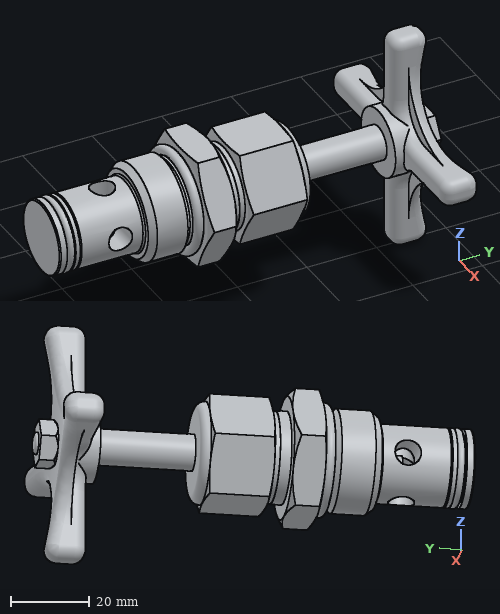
import cadquery as cq
import math


ARM_REACH = 31.73
ARM_WIDTH = 8.0
ARM_ROUND = 3.2
ARM_BOTTOM = 99.4
CROWN_LOW = 106.8
CROWN_RADIUS = 133.0
WEB_BOTTOM = 103.6
WEB_CORNER_RADIUS = 18.8
ARM_CORNER_RADIUS = 9.4
HUB_DIAMETER = 19.0
HUB_BOTTOM = 96.9

STUD_DIAMETER = 5.7
STUD_TOP = 112.7
STEM_DIAMETER = 9.5
NUT_FLATS = 11.0
NUT_BOTTOM = 107.2
NUT_TOP = 111.8
NUT_CHAMFER_ANGLE = 45.0

COLLAR_DIAMETER = 26.6
COLLAR_TOP = 71.5
UPPER_HEX_FLATS = 26.9
UPPER_HEX_TOP = 69.0
UPPER_HEX_BOTTOM = 52.4
SHALLOW_CHAMFER_ANGLE = 16.0

UPPER_NECK_DIAMETER = 23.8
LOWER_NECK_DIAMETER = 24.0
NECK_STEP = 50.8

LOWER_HEX_FLATS = 31.7
LOWER_HEX_TOP = 47.9
LOWER_HEX_BOTTOM = 39.6
STEEP_CHAMFER_ANGLE = 30.0

BARREL_DIAMETER = 26.9
BARREL_TOP = 36.5
BARREL_BOTTOM = 24.5
BARREL_END_DIAMETER = 24.0
BARREL_TOP_CHAMFER = 1.4
BARREL_BOTTOM_CHAMFER = 1.9
BARREL_SEAL_DIAMETER = 29.5
BARREL_SEAL_SECTION = 2.8
BARREL_SEAL_HEIGHT = 38.2

NOSE_DIAMETER = 20.5
NOSE_CHAMFER = 0.3
FLARE_DIAMETER = 21.2
FLARE_BOTTOM = 23.9
GROOVE_DIAMETER = 17.8
GROOVE_TOP = 6.3
GROOVE_BOTTOM = 2.1
BACKUP_RING_DIAMETER = 20.5
BACKUP_RING_TOP = 5.9
BACKUP_RING_BOTTOM = 4.6
NOSE_SEAL_DIAMETER = 20.8
NOSE_SEAL_SECTION = 2.0
NOSE_SEAL_HEIGHT = 3.6

PORT_DIAMETER = 6.8
PORT_HEIGHT = 17.5
NEEDLE_DIAMETER = 4.7


def plane_at(height):
    """Workplane square to the axis; a negative extrusion goes towards +Y."""
    return cq.Workplane("XZ", origin=(0, height, 0))


def cylinder(diameter, bottom, top):
    return plane_at(bottom).circle(diameter / 2).extrude(bottom - top)


def turned(points):
    """Solid of revolution about Y from (radius, height) points."""
    return cq.Workplane("XY").polyline(points).close().revolve(360, (0, 0, 0), (0, 1, 0))


def seal_ring(outer_diameter, section, height):
    centre_radius = (outer_diameter - section) / 2
    circle = cq.Workplane("XY").center(-centre_radius, height).circle(section / 2)
    return circle.revolve(360, (centre_radius, 0, 0), (centre_radius, 1, 0))


def chamfered_hex(flats, bottom, top, bottom_angle, top_angle):
    """Hexagon with corners on X, its ends coned outside the inscribed circle; angle 0 leaves an end flat."""
    seat_radius = flats / 2
    corner_radius = flats / math.sqrt(3)
    bottom_drop = (corner_radius - seat_radius) * math.tan(math.radians(bottom_angle))
    top_drop = (corner_radius - seat_radius) * math.tan(math.radians(top_angle))
    profile = [(0, bottom), (seat_radius, bottom), (corner_radius, bottom + bottom_drop)]
    profile.append((corner_radius, top - top_drop))
    if top_drop > 0:
        profile.append((seat_radius, top))
    profile.append((0, top))
    hexagon = plane_at(bottom).polygon(6, 2 * corner_radius).extrude(bottom - top)
    return hexagon.intersect(turned(profile))


def cross_plate(bottom, top, corner_radius):
    """Plate with four arms and rounded inner corners between them."""
    plate = plane_at(bottom).rect(2 * ARM_REACH, ARM_WIDTH).extrude(bottom - top)
    other_arms = plane_at(bottom).rect(ARM_WIDTH, 2 * ARM_REACH).extrude(bottom - top)
    inner_corners = cq.selectors.BoxSelector(
        (-ARM_WIDTH, bottom, -ARM_WIDTH), (ARM_WIDTH, top, ARM_WIDTH)
    )
    return plate.union(other_arms).edges("|Y").edges(inner_corners).fillet(corner_radius)


def round_arms(plate, rim_face):
    """Round the rim of one face of a cross plate together with the upright edges of the arm ends."""
    upright = cq.selectors.ParallelDirSelector(cq.Vector(0, 1, 0))
    inner_reach = ARM_REACH - ARM_WIDTH
    inner = cq.selectors.BoxSelector(
        (-inner_reach, 0, -inner_reach), (inner_reach, STUD_TOP, inner_reach)
    )
    end_edges = plate.edges(upright - inner)
    rim_edges = plate.faces(rim_face).edges()
    return end_edges.add(rim_edges).fillet(ARM_ROUND)


def make_handle():
    crown = cq.Workplane("XY").sphere(CROWN_RADIUS).translate((0, CROWN_LOW + CROWN_RADIUS, 0))
    webbed = cross_plate(WEB_BOTTOM, STUD_TOP, WEB_CORNER_RADIUS).cut(crown)
    arms = cross_plate(ARM_BOTTOM, WEB_BOTTOM, ARM_CORNER_RADIUS)
    hub = cylinder(HUB_DIAMETER, HUB_BOTTOM, WEB_BOTTOM)
    handle = round_arms(webbed, "%SPHERE").union(round_arms(arms, "<Y")).union(hub)
    return handle.cut(cylinder(STUD_DIAMETER, HUB_BOTTOM, STUD_TOP))


def make_stem():
    stem = cylinder(STEM_DIAMETER, UPPER_HEX_TOP, HUB_BOTTOM)
    stud = cylinder(STUD_DIAMETER, HUB_BOTTOM, STUD_TOP)
    stud = stud.faces(">Y").edges().fillet(STUD_TOP - NUT_TOP)
    nut = chamfered_hex(NUT_FLATS, NUT_BOTTOM, NUT_TOP, NUT_CHAMFER_ANGLE, 0)
    return stem.union(stud).union(nut)


def make_bonnet():
    collar = cylinder(COLLAR_DIAMETER, UPPER_HEX_BOTTOM, COLLAR_TOP)
    collar = collar.faces(">Y").edges().fillet(COLLAR_TOP - UPPER_HEX_TOP)
    upper_hex = chamfered_hex(
        UPPER_HEX_FLATS, UPPER_HEX_BOTTOM, UPPER_HEX_TOP,
        SHALLOW_CHAMFER_ANGLE, SHALLOW_CHAMFER_ANGLE,
    )
    upper_neck = cylinder(UPPER_NECK_DIAMETER, NECK_STEP, UPPER_HEX_BOTTOM)
    return collar.union(upper_hex).union(upper_neck)


def make_barrel():
    lower_hex = chamfered_hex(
        LOWER_HEX_FLATS, LOWER_HEX_BOTTOM, LOWER_HEX_TOP,
        SHALLOW_CHAMFER_ANGLE, STEEP_CHAMFER_ANGLE,
    )
    neck = cylinder(LOWER_NECK_DIAMETER, BARREL_TOP, NECK_STEP)
    barrel = turned([
        (0, BARREL_BOTTOM),
        (BARREL_END_DIAMETER / 2, BARREL_BOTTOM),
        (BARREL_DIAMETER / 2, BARREL_BOTTOM + BARREL_BOTTOM_CHAMFER),
        (BARREL_DIAMETER / 2, BARREL_TOP - BARREL_TOP_CHAMFER),
        (BARREL_END_DIAMETER / 2, BARREL_TOP),
        (0, BARREL_TOP),
    ])
    seal = seal_ring(BARREL_SEAL_DIAMETER, BARREL_SEAL_SECTION, BARREL_SEAL_HEIGHT)
    return lower_hex.union(neck).union(barrel).union(seal)


def cut_ports(nose):
    """Two crossing ports, with the needle left standing where they meet."""
    through = NOSE_DIAMETER
    port = cq.Workplane("XY").center(0, PORT_HEIGHT).circle(PORT_DIAMETER / 2).extrude(through, both=True)
    ports = port.union(port.rotate((0, 0, 0), (0, 1, 0), 90))
    needle = cylinder(NEEDLE_DIAMETER, PORT_HEIGHT, BARREL_BOTTOM)
    return nose.cut(ports.cut(needle))


def make_nose():
    nose = turned([
        (0, 0),
        (NOSE_DIAMETER / 2 - NOSE_CHAMFER, 0),
        (NOSE_DIAMETER / 2, NOSE_CHAMFER),
        (NOSE_DIAMETER / 2, GROOVE_BOTTOM),
        (GROOVE_DIAMETER / 2, GROOVE_BOTTOM),
        (GROOVE_DIAMETER / 2, GROOVE_TOP),
        (NOSE_DIAMETER / 2, GROOVE_TOP),
        (NOSE_DIAMETER / 2, FLARE_BOTTOM),
        (FLARE_DIAMETER / 2, BARREL_BOTTOM),
        (0, BARREL_BOTTOM),
    ])
    backup_ring = cylinder(BACKUP_RING_DIAMETER, BACKUP_RING_BOTTOM, BACKUP_RING_TOP)
    seal = seal_ring(NOSE_SEAL_DIAMETER, NOSE_SEAL_SECTION, NOSE_SEAL_HEIGHT)
    return cut_ports(nose).union(backup_ring).union(seal)


def make_cartridge():
    return make_nose().union(make_barrel()).union(make_bonnet()).union(make_stem())


handle = make_handle()
cartridge = make_cartridge()
result = cq.Compound.makeCompound([handle.val(), cartridge.val()])